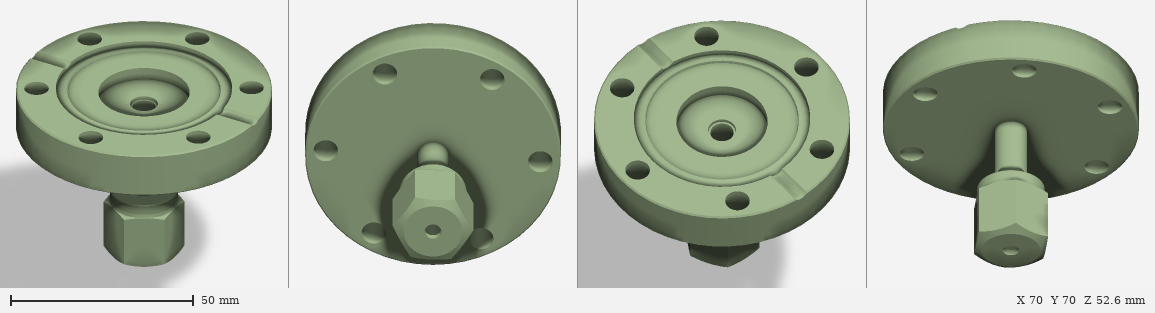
import cadquery as cq
import math

flange_thickness = 12.95
total_height = 52.6
nut_top = -32.05
nut_bottom = -total_height

flange_diameter = 70.0
flange_edge_chamfer = 0.4
bolt_count = 6
bolt_circle_diameter = 58.8
bolt_hole_diameter = 6.7
seal_recess_diameter = 48.3
seal_recess_depth = 1.8
knife_edge_diameter = 42.0
knife_edge_depth = 0.6
inner_face_diameter = 41.6
inner_face_depth = 1.3
pocket_diameter = 25.0
pocket_floor_depth = 5.05
flange_bore_diameter = 7.6
leak_groove_width = 4.0
leak_groove_depth = 1.0

tube_diameter = 8.8
tube_bore_diameter = 6.4
tube_end_bore_diameter = 4.55
tube_end_wall = 1.75
tube_setback = 1.0
tube_top = -(pocket_floor_depth + tube_setback)
tube_bottom = nut_bottom

collar_diameter = 18.5
collar_chamfer = 0.35
collar_height = 3.0
flare_diameter = 19.0
flare_height = 0.9
hex_across_flats = 19.1
hex_top_chamfer_height = 0.55
hex_bottom_face_diameter = 16.0
hex_bottom_chamfer_height = 1.75


def cylinder(diameter, bottom, top):
    """Upright cylinder on the Z axis between two heights."""
    return cq.Workplane("XY").workplane(offset=bottom).circle(diameter / 2).extrude(top - bottom)


def revolved(profile):
    """Solid of revolution about Z from (radius, height) points."""
    return cq.Workplane("XZ").polyline(profile).close().revolve(360, (0, 0), (0, 1))


def seal_recess():
    """Ring recess whose floor rises inward to the knife edge, plus the sunken inner face."""
    return revolved([
        (0, 0),
        (seal_recess_diameter / 2, 0),
        (seal_recess_diameter / 2, -seal_recess_depth),
        (knife_edge_diameter / 2, -knife_edge_depth),
        (inner_face_diameter / 2, -inner_face_depth),
        (0, -inner_face_depth),
    ])


def leak_groove():
    """Round-bottomed groove across the full flange face along X."""
    half_width = leak_groove_width / 2
    radius = (half_width**2 + leak_groove_depth**2) / (2 * leak_groove_depth)
    return (
        cq.Workplane("YZ")
        .center(0, radius - leak_groove_depth)
        .circle(radius)
        .extrude(flange_diameter / 2, both=True)
    )


def make_flange():
    flange = cylinder(flange_diameter, -flange_thickness, 0).edges().chamfer(flange_edge_chamfer)
    rim_groove = leak_groove().cut(cylinder(seal_recess_diameter, -seal_recess_depth, leak_groove_width))
    bolt_holes = (
        cq.Workplane("XY")
        .polarArray(bolt_circle_diameter / 2, 90, 360, bolt_count)
        .circle(bolt_hole_diameter / 2)
        .extrude(-flange_thickness)
    )
    return (
        flange.cut(seal_recess())
        .cut(rim_groove)
        .cut(bolt_holes)
        .cut(cylinder(pocket_diameter, -pocket_floor_depth, 0))
        .cut(cylinder(flange_bore_diameter, -flange_thickness, 0))
        .cut(cylinder(tube_diameter, -flange_thickness, tube_top))
    )


def make_tube():
    """Tube with a bore that narrows at its lower end."""
    return (
        cylinder(tube_diameter, tube_bottom, tube_top)
        .cut(cylinder(tube_bore_diameter, tube_bottom + tube_end_wall, tube_top))
        .cut(cylinder(tube_end_bore_diameter, tube_bottom, tube_top))
    )


def make_nut():
    hex_top = nut_top - collar_height - flare_height
    corner_diameter = hex_across_flats / math.cos(math.pi / 6)
    hexagon = (
        cq.Workplane("XY")
        .workplane(offset=nut_bottom)
        .transformed(rotate=(0, 0, 90))
        .polygon(6, corner_diameter)
        .extrude(hex_top - nut_bottom)
    )
    envelope = revolved([
        (0, nut_bottom),
        (hex_bottom_face_diameter / 2, nut_bottom),
        (corner_diameter / 2, nut_bottom + hex_bottom_chamfer_height),
        (corner_diameter / 2, hex_top - hex_top_chamfer_height),
        (flare_diameter / 2, hex_top),
        (0, hex_top),
    ])
    collar = revolved([
        (0, hex_top),
        (flare_diameter / 2, hex_top),
        (collar_diameter / 2, hex_top + flare_height),
        (collar_diameter / 2, nut_top - collar_chamfer),
        (collar_diameter / 2 - collar_chamfer, nut_top),
        (0, nut_top),
    ])
    tube_hole = cylinder(tube_diameter, nut_bottom, nut_top)
    return hexagon.intersect(envelope).union(collar).cut(tube_hole)


flange = make_flange()
tube = make_tube()
nut = make_nut()

result = cq.Compound.makeCompound([flange.val(), tube.val(), nut.val()])